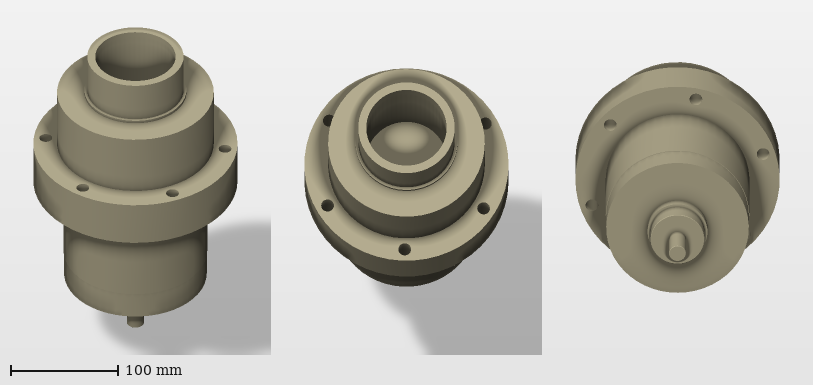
import cadquery as cq

shaft_top = 31.8
boss_top = 49.5
boss_collar_top = 58.0
end_cap_top = 84.5
lower_body_top = 166.5
flange_top = 210.5
housing_top = 270.3
tube_collar_top = 273.0
overall_height = 312.2

shaft_diameter = 16.0
boss_diameter = 50.3
boss_collar_diameter = 56.0
end_cap_diameter = 133.0
lower_body_diameter = 134.0
flange_diameter = 190.5
housing_diameter = 146.0
tube_collar_diameter = 95.2
tube_diameter = 90.0

end_chamfer = 0.47

bore_diameter = 75.0
bore_floor = 223.8

bolt_count = 6
bolt_hole_diameter = 12.0
bolt_circle_diameter = 168.0
first_bolt_angle = 90

sections = [
    (shaft_top, shaft_diameter, True),
    (boss_top, boss_diameter, True),
    (boss_collar_top, boss_collar_diameter, False),
    (end_cap_top, end_cap_diameter, False),
    (lower_body_top, lower_body_diameter, False),
    (flange_top, flange_diameter, False),
    (housing_top, housing_diameter, False),
    (tube_collar_top, tube_collar_diameter, False),
    (overall_height, tube_diameter, False),
]


def cylinder(bottom, top, diameter):
    """Cylinder on the Z axis between two levels."""
    return cq.Workplane("XY").workplane(offset=bottom).circle(diameter / 2).extrude(top - bottom)


def stepped_body():
    """Stack the coaxial sections into one solid."""
    body = cq.Workplane("XY")
    bottom = 0
    for top, diameter, chamfered in sections:
        section = cylinder(bottom, top, diameter)
        if chamfered:
            section = section.faces("<Z").edges().chamfer(end_chamfer)
        body = body.union(section)
        bottom = top
    return body


def bolt_holes():
    """Ring of cylinders running through the flange."""
    return (
        cq.Workplane("XY")
        .workplane(offset=lower_body_top)
        .polarArray(bolt_circle_diameter / 2, first_bolt_angle, 360, bolt_count)
        .circle(bolt_hole_diameter / 2)
        .extrude(flange_top - lower_body_top)
    )


tube_bore = cylinder(bore_floor, overall_height, bore_diameter)
result = stepped_body().cut(tube_bore).cut(bolt_holes())